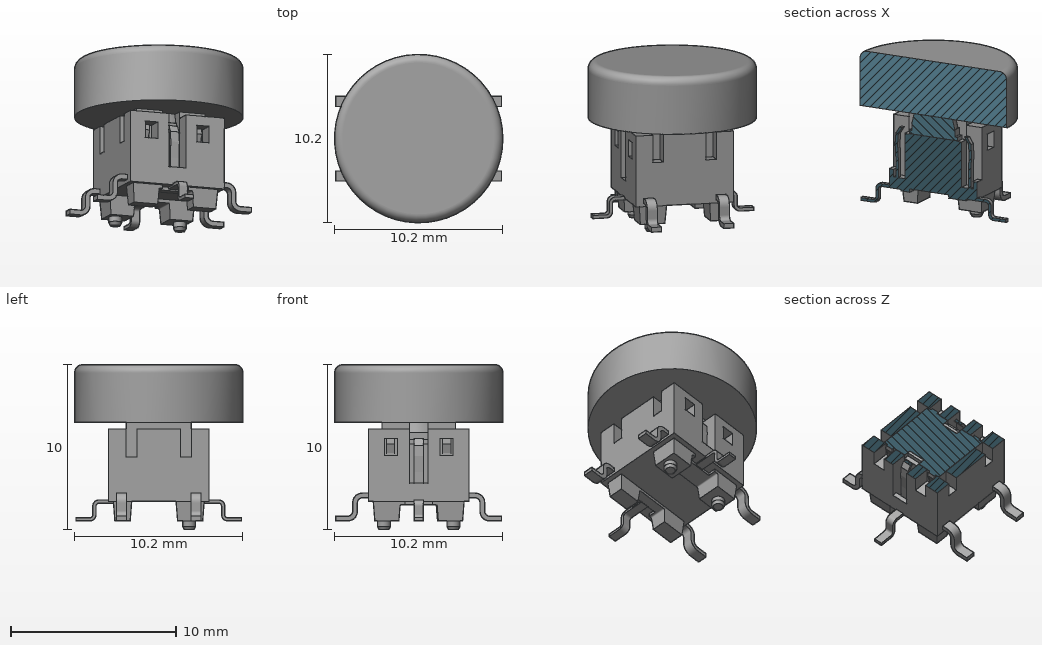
import cadquery as cq
import math


SEAT_Z = 0.53
HOUSING_BOTTOM_Z = 1.71
HOUSING_TOP_Z = 6.1
CAP_BOTTOM_Z = 6.5
CAP_TOP_Z = 10.0

CAP_DIAMETER = 10.2
CAP_EDGE_RADIUS = 0.51

STEM_X = 4.46
STEM_Y = 3.96
STEM_BOTTOM_Z = 4.41
STEM_LEG_THICKNESS = 1.21
CORE_TOP_Z = 5.19
HUB_TOP_DIAMETER = 2.7
HUB_BOTTOM_DIAMETER = 3.0
HUB_BOTTOM_Z = 5.9
LEDGE_Z = 5.45
CHANNEL_UPPER_Y = HUB_BOTTOM_DIAMETER / 2
CHANNEL_LOWER_Y = 1.68

BARB_X = 1.7
BARB_WIDTH = 0.5
BARB_BOTTOM_Z = 4.62
BARB_REACH = 0.16
BARB_TOP_REACH = 0.12
WINDOW_X = 1.67
WINDOW_WIDTH = 0.8
WINDOW_BOTTOM_Z = 4.5
WINDOW_TOP_Z = 5.52

HOUSING_SIDE = 6.1
HOUSING_HALF = HOUSING_SIDE / 2
SIDE_SLOT_WIDTH = 0.65
CHANNEL_WIDTH = 1.11
CONTACT_SLOT_BOTTOM_Z = 2.82
CONTACT_WALL = 0.31
CONTACT_CAVITY_BOTTOM_Z = 2.35

FOOT_HEIGHT = HOUSING_BOTTOM_Z - SEAT_Z
FOOT_DRAFT = 0.09
FOOT_OUTER = 2.75
FOOT_INNER_X = 1.1
WIDE_FOOT_INNER_X = 1.04
FRONT_FOOT_INNER_Y = 1.04
REAR_FOOT_INNER_Y = 1.63
BRIDGE_THICKNESS = 0.2
BRIDGE_FILLET = 0.09
NOTCH_WIDTH = 1.68
NOTCH_DEPTH = 0.51
PIN_X = 2.1
PIN_Y = -1.84
PIN_DIAMETER = 0.8
PIN_CHAMFER_HEIGHT = 0.2
PIN_CHAMFER_WIDTH = 0.1

LEAD_REACH = 5.02
LEAD_KNEE = 4.0
SIDE_LEAD_Y = 2.25
SIDE_LEAD_WIDTH = 0.62
SIDE_LEAD_TOP_Z = 2.22
SIDE_LEAD_THICKNESS = 0.3
SIDE_LEAD_INNER_RADIUS = 0.3
CENTRE_LEAD_WIDTH = 0.55
CENTRE_LEAD_TOP_Z = 1.81
CENTRE_LEAD_THICKNESS = 0.2
CENTRE_LEAD_INNER_RADIUS = 0.17
SPRING_Y = 2.61
SPRING_THICKNESS = 0.2
SPRING_BOW = 0.05
SPRING_TIP_SETBACK = 0.25
SPRING_LOWER_BEND_Z = 3.48
SPRING_MIDDLE_BEND_Z = 4.46
SPRING_UPPER_BEND_Z = 5.11
SPRING_TIP_Z = 5.52


def block(x_range, y_range, z_range):
    """Axis-aligned box spanning three (low, high) ranges."""
    lows, highs = zip(x_range, y_range, z_range)
    sizes = [high - low for low, high in zip(lows, highs)]
    return cq.Workplane("XY").box(*sizes, centered=False).translate(lows)


def centred(width, middle=0.0):
    """The (low, high) range of a given width about a middle."""
    return (middle - width / 2, middle + width / 2)


def half_turn(shape):
    """Copy of a shape turned by 180 degrees about the button axis."""
    return shape.rotate((0, 0, 0), (0, 0, 1), 180)


def make_cap():
    height = CAP_TOP_Z - CAP_BOTTOM_Z
    disc = cq.Workplane("XY").workplane(offset=CAP_BOTTOM_Z).circle(CAP_DIAMETER / 2).extrude(height)
    return disc.faces(">Z").edges().fillet(CAP_EDGE_RADIUS)


def stem_channel():
    """Stepped channel in the -Y side of the stem, with the conical hub showing at its top."""
    across = centred(CHANNEL_WIDTH)
    hub_height = CAP_BOTTOM_Z - HUB_BOTTOM_Z
    hub = (
        cq.Workplane("XY")
        .workplane(offset=HUB_BOTTOM_Z)
        .circle(HUB_BOTTOM_DIAMETER / 2)
        .workplane(offset=hub_height)
        .circle(HUB_TOP_DIAMETER / 2)
        .loft(combine=True)
    )
    around_hub = block(across, (-STEM_Y / 2, 0), (HUB_BOTTOM_Z, CAP_BOTTOM_Z)).cut(hub)
    upper = block(across, (-STEM_Y / 2, -CHANNEL_UPPER_Y), (LEDGE_Z, HUB_BOTTOM_Z))
    lower = block(across, (-STEM_Y / 2, -CHANNEL_LOWER_Y), (CORE_TOP_Z, LEDGE_Z))
    return around_hub.union(upper).union(lower)


def latch_barb(x):
    """Pointed barb on the -Y face of the stem, with a long lead-in slope below its peak."""
    face = -STEM_Y / 2
    profile = [
        (face, BARB_BOTTOM_Z),
        (face - BARB_REACH, CORE_TOP_Z),
        (face - BARB_TOP_REACH, WINDOW_TOP_Z),
        (face, WINDOW_TOP_Z),
    ]
    start = x - BARB_WIDTH / 2
    return cq.Workplane("YZ").workplane(offset=start).polyline(profile).close().extrude(BARB_WIDTH)


def core_block():
    """Space between the stem legs, filled by the core of the housing."""
    core_width = STEM_X - 2 * STEM_LEG_THICKNESS
    return block(centred(core_width), centred(STEM_Y), (STEM_BOTTOM_Z, CORE_TOP_Z))


def make_stem():
    stem = block(centred(STEM_X), centred(STEM_Y), (STEM_BOTTOM_Z, CAP_BOTTOM_Z)).cut(core_block())
    channel = stem_channel()
    stem = stem.cut(channel).cut(half_turn(channel))
    for x in (-BARB_X, BARB_X):
        barb = latch_barb(x)
        stem = stem.union(barb).union(half_turn(barb))
    return stem


def stem_pocket():
    pocket = block(centred(STEM_X), centred(STEM_Y), (STEM_BOTTOM_Z, HOUSING_TOP_Z))
    return pocket.cut(core_block())


def side_slots():
    """The two open-topped slots through the -X wall, in line with the stem edges."""
    slots = cq.Workplane("XY")
    slot_y = (STEM_Y - SIDE_SLOT_WIDTH) / 2
    for y in (-slot_y, slot_y):
        slot = block(
            (-HOUSING_HALF, -STEM_X / 2),
            centred(SIDE_SLOT_WIDTH, y),
            (STEM_BOTTOM_Z, HOUSING_TOP_Z),
        )
        slots = slots.add(slot)
    return slots.combine()


def latch_windows():
    """The two windows through the -Y wall that take the latch barbs."""
    windows = cq.Workplane("XY")
    for x in (-WINDOW_X, WINDOW_X):
        window = block(
            centred(WINDOW_WIDTH, x),
            (-HOUSING_HALF, -STEM_Y / 2),
            (WINDOW_BOTTOM_Z, WINDOW_TOP_Z),
        )
        windows = windows.add(window)
    return windows.combine()


def contact_slot():
    """Slot in the -Y wall with a deeper cavity behind it for the contact spring."""
    across = centred(CHANNEL_WIDTH)
    slot = block(across, (-HOUSING_HALF, -STEM_Y / 2), (CONTACT_SLOT_BOTTOM_Z, HOUSING_TOP_Z))
    cavity_y = (-HOUSING_HALF + CONTACT_WALL, -STEM_Y / 2)
    cavity = block(across, cavity_y, (CONTACT_CAVITY_BOTTOM_Z, HOUSING_TOP_Z))
    return slot.union(cavity)


def contact_spring():
    """Slightly bowed upright strip behind the -Y slot, its tip leaning inward."""
    outer_face = [
        (-SPRING_Y, CONTACT_CAVITY_BOTTOM_Z),
        (-SPRING_Y, SPRING_LOWER_BEND_Z),
        (-SPRING_Y - SPRING_BOW, SPRING_MIDDLE_BEND_Z),
        (-SPRING_Y, SPRING_UPPER_BEND_Z),
        (-SPRING_Y + SPRING_TIP_SETBACK, SPRING_TIP_Z),
    ]
    inner_face = [(y + SPRING_THICKNESS, z) for y, z in reversed(outer_face)]
    profile = cq.Workplane("YZ").polyline(outer_face + inner_face).close()
    return profile.extrude(CENTRE_LEAD_WIDTH / 2, both=True)


def gull_wing_lead(root, top, thickness, inner_radius, width):
    """Lead bent down and out again, running from the given root towards +X."""
    outer_radius = inner_radius + thickness
    knee_inner = LEAD_KNEE - thickness
    foot_top = SEAT_Z + thickness
    profile = (
        cq.Workplane("XZ")
        .moveTo(root, top)
        .lineTo(LEAD_KNEE - outer_radius, top)
        .radiusArc((LEAD_KNEE, top - outer_radius), outer_radius)
        .lineTo(LEAD_KNEE, foot_top + inner_radius)
        .radiusArc((LEAD_KNEE + inner_radius, foot_top), -inner_radius)
        .lineTo(LEAD_REACH, foot_top)
        .lineTo(LEAD_REACH, SEAT_Z)
        .lineTo(knee_inner + outer_radius, SEAT_Z)
        .radiusArc((knee_inner, SEAT_Z + outer_radius), outer_radius)
        .lineTo(knee_inner, top - outer_radius)
        .radiusArc((knee_inner - inner_radius, top - thickness), -inner_radius)
        .lineTo(root, top - thickness)
        .close()
    )
    return profile.extrude(width / 2, both=True)


def tapered_block(x_range, y_range):
    """Block under the housing, tapering on all four sides down to the seat."""
    sizes = [high - low for low, high in (x_range, y_range)]
    centre = [(high + low) / 2 for low, high in (x_range, y_range)]
    taper = math.degrees(math.atan(FOOT_DRAFT / FOOT_HEIGHT))
    base = cq.Workplane("XY").workplane(offset=HOUSING_BOTTOM_Z).center(*centre)
    return base.rect(*sizes).extrude(-FOOT_HEIGHT, taper=taper)


def foot_gap(right_inner_x):
    """Space between two feet below their bridge, with rounded upper corners."""
    bridge_bottom = HOUSING_BOTTOM_Z - BRIDGE_THICKNESS
    inset = FOOT_DRAFT * BRIDGE_THICKNESS / FOOT_HEIGHT
    outline = [
        (-FOOT_INNER_X - inset, bridge_bottom),
        (right_inner_x + inset, bridge_bottom),
        (right_inner_x + FOOT_DRAFT, SEAT_Z),
        (-FOOT_INNER_X - FOOT_DRAFT, SEAT_Z),
    ]
    gap = cq.Workplane("XZ").polyline(outline).close().extrude(FOOT_OUTER, both=True)
    return gap.faces(">Z").edges("|Y").fillet(BRIDGE_FILLET)


def foot_pair(right_inner_x, y_range, notch_y_range):
    """Two feet joined by a thin bridge that is notched around a centre lead."""
    pair = tapered_block((-FOOT_OUTER, FOOT_OUTER), y_range).cut(foot_gap(right_inner_x))
    notch_z = (HOUSING_BOTTOM_Z - BRIDGE_THICKNESS, HOUSING_BOTTOM_Z)
    return pair.cut(block(centred(NOTCH_WIDTH), notch_y_range, notch_z))


def locating_pin(x):
    pin = cq.Workplane("XY").center(x, PIN_Y).circle(PIN_DIAMETER / 2).extrude(SEAT_Z)
    return pin.faces("<Z").chamfer(PIN_CHAMFER_HEIGHT, PIN_CHAMFER_WIDTH)


def make_housing():
    housing = block(centred(HOUSING_SIDE), centred(HOUSING_SIDE), (HOUSING_BOTTOM_Z, HOUSING_TOP_Z))
    housing = housing.cut(stem_pocket())
    for opening in (side_slots(), latch_windows(), contact_slot()):
        housing = housing.cut(opening).cut(half_turn(opening))

    notch_inner_y = FOOT_OUTER - NOTCH_DEPTH
    front_feet = foot_pair(
        FOOT_INNER_X, (-FOOT_OUTER, -FRONT_FOOT_INNER_Y), (-FOOT_OUTER, -notch_inner_y)
    )
    rear_feet = foot_pair(
        WIDE_FOOT_INNER_X, (REAR_FOOT_INNER_Y, FOOT_OUTER), (notch_inner_y, FOOT_OUTER)
    )
    housing = housing.union(front_feet).union(rear_feet)
    for x in (-PIN_X, PIN_X):
        housing = housing.union(locating_pin(x))

    side_lead = gull_wing_lead(
        HOUSING_HALF, SIDE_LEAD_TOP_Z, SIDE_LEAD_THICKNESS, SIDE_LEAD_INNER_RADIUS, SIDE_LEAD_WIDTH
    )
    for y in (-SIDE_LEAD_Y, SIDE_LEAD_Y):
        lead = side_lead.translate((0, y, 0))
        housing = housing.union(lead).union(half_turn(lead))

    centre_lead = gull_wing_lead(
        notch_inner_y, CENTRE_LEAD_TOP_Z, CENTRE_LEAD_THICKNESS, CENTRE_LEAD_INNER_RADIUS, CENTRE_LEAD_WIDTH
    ).rotate((0, 0, 0), (0, 0, 1), -90)
    for contact in (centre_lead, contact_spring()):
        housing = housing.union(contact).union(half_turn(contact))
    return housing


cap = make_cap()
stem = make_stem()
housing = make_housing()
result = cq.Compound.makeCompound([body.solids().val() for body in (cap, stem, housing)])